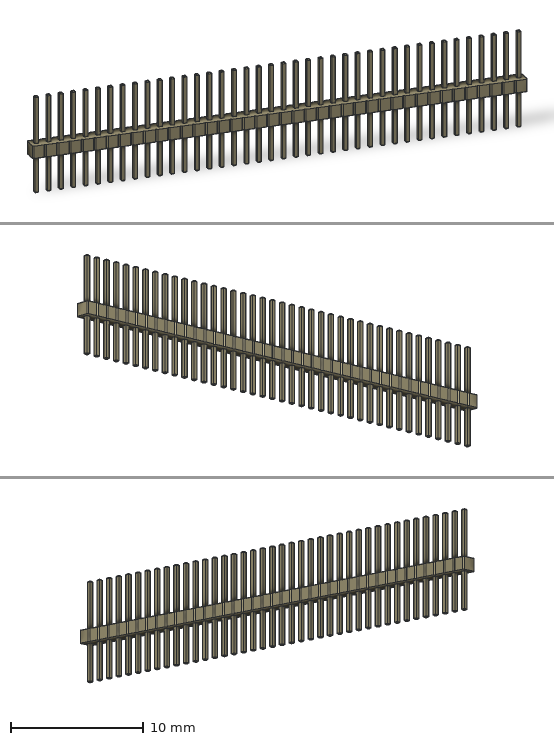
import cadquery as cq

pin_count = 40
pitch = 1.0

body_width = 1.27
body_height = 1.0
corner_chamfer = 0.1

pin_width = 0.3
pin_length_above = 3.8
pin_length_below = 3.0
pin_length = pin_length_below + body_height + pin_length_above
tip_chamfer = 0.08


def make_segment():
    """One insulator segment with chamfered upright corners, standing on Z = 0."""
    block = cq.Workplane("XY").box(body_width, pitch, body_height, centered=(True, True, False))
    return block.edges("|Z").chamfer(corner_chamfer)


def make_pin():
    """One square pin through the segment, with both tips chamfered."""
    pin = cq.Workplane("XY").box(pin_width, pin_width, pin_length, centered=(True, True, False))
    pin = pin.faces("<Z or >Z").edges().chamfer(tip_chamfer)
    return pin.translate((0, 0, -pin_length_below))


def make_header():
    """The row of identical segments and pins, centred along Y and joined end to end."""
    unit = make_segment().union(make_pin()).val()
    first_y = -(pin_count - 1) * pitch / 2
    units = [unit.translate(cq.Vector(0, first_y + i * pitch, 0)) for i in range(pin_count)]
    return cq.Workplane("XY").newObject([units[0].fuse(*units[1:]).clean()])


result = make_header()